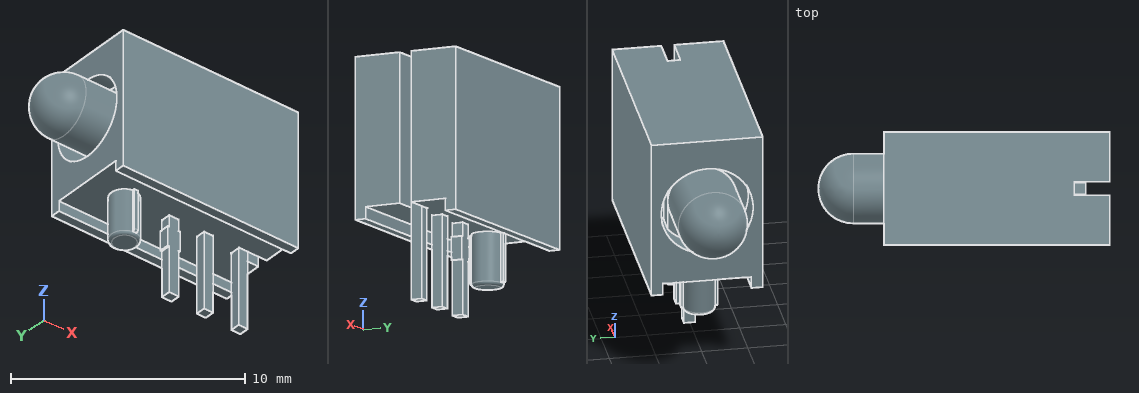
import cadquery as cq
import math

HOUSING_FRONT = 2.8
HOUSING_BACK = 12.45
HOUSING_WIDTH = 4.83
HOUSING_TOP = 10.61
SKIRT_BOTTOM = 3.5
SKIRT_THICKNESS = 0.5
UNDERSIDE = 4.02

LENS_RADIUS = 1.5
LENS_Z = 7.31
FLANGE_RADIUS = 1.99
FLANGE_RECESS = 1.21
FLANGE_THICKNESS = 1.0
FLANGE_FRONT = HOUSING_FRONT + FLANGE_RECESS
FLANGE_BACK = FLANGE_FRONT + FLANGE_THICKNESS

LEAD_SIZE = 0.5
LEAD_PITCH = 1.9
FIRST_LEAD_X = 7.37
LEAD_LEVEL_PITCH = 1.0
LEAD_COUNT = 3

FIRST_LEAD_WIDTH = 0.54
SHOULDER_WIDTH = 0.68
SHOULDER_TOP = 3.42
SHOULDER_BOTTOM = 2.4

SLOT_WIDTH = 0.56
LAST_LEAD_X = FIRST_LEAD_X + (LEAD_COUNT - 1) * LEAD_PITCH
SLOT_FRONT = LAST_LEAD_X - LEAD_SIZE / 2

PEG_X = 4.83
PEG_RADIUS = 0.7
PEG_BOTTOM = 1.72
PEG_TIP_FILLET = 0.15
RIB_WIDTH = 0.2
RIB_SPAN = 1.62
RIB_END_FILLET = 0.1
PEG_LENGTH = UNDERSIDE - PEG_BOTTOM
RIB_BOTTOM = PEG_BOTTOM + PEG_TIP_FILLET


def block(x_min, x_max, width, z_min, z_max):
    """Box centred on Y = 0 between the given X and Z limits."""
    return (
        cq.Workplane("XY")
        .box(x_max - x_min, width, z_max - z_min, centered=(False, True, False))
        .translate((x_min, 0, z_min))
    )


def x_cylinder(x_min, x_max, radius):
    """Cylinder on the lens axis between two X positions."""
    return (
        cq.Workplane("YZ", origin=(x_min, 0, LENS_Z))
        .circle(radius)
        .extrude(x_max - x_min)
    )


def make_lens():
    """Cylinder with a hemispherical tip, revolved about the lens axis."""
    arc_offset = LENS_RADIUS * math.sqrt(0.5)
    return (
        cq.Workplane("XZ", origin=(0, 0, LENS_Z))
        .moveTo(0, 0)
        .threePointArc((LENS_RADIUS - arc_offset, arc_offset), (LENS_RADIUS, LENS_RADIUS))
        .lineTo(FLANGE_FRONT, LENS_RADIUS)
        .lineTo(FLANGE_FRONT, 0)
        .close()
        .revolve(360, (0, 0, 0), (1, 0, 0))
    )


def make_flange():
    """Disc with a flat on its +Y side, level with the side of the lens."""
    disc = x_cylinder(FLANGE_FRONT, FLANGE_BACK, FLANGE_RADIUS)
    beyond_flat = block(
        FLANGE_FRONT, FLANGE_BACK, 2 * FLANGE_RADIUS, LENS_Z - FLANGE_RADIUS, LENS_Z + FLANGE_RADIUS
    ).translate((0, FLANGE_RADIUS + LENS_RADIUS, 0))
    return disc.cut(beyond_flat)


def make_lead(index):
    """Bent lead; the farther back it drops, the higher it leaves the flange."""
    width = FIRST_LEAD_WIDTH if index == 0 else LEAD_SIZE
    lead_x = FIRST_LEAD_X + index * LEAD_PITCH
    level = LENS_Z + (index - (LEAD_COUNT - 1) / 2) * LEAD_LEVEL_PITCH
    level_top = level + LEAD_SIZE / 2
    back = lead_x + width / 2
    drop = block(lead_x - width / 2, back, LEAD_SIZE, 0, level_top)
    run = block(FLANGE_BACK, back, LEAD_SIZE, level - LEAD_SIZE / 2, level_top)
    return drop.union(run)


def make_shoulder():
    half_width = SHOULDER_WIDTH / 2
    return block(
        FIRST_LEAD_X - half_width, FIRST_LEAD_X + half_width, LEAD_SIZE, SHOULDER_BOTTOM, SHOULDER_TOP
    )


def make_led():
    """Domed lens, flange and leads as one solid."""
    led = make_lens().union(make_flange())
    for index in range(LEAD_COUNT):
        led = led.union(make_lead(index))
    return led.union(make_shoulder())


def make_peg():
    """Round-tipped peg with a rib on each of its +Y and -Y sides."""
    peg = (
        cq.Workplane("XY", origin=(PEG_X, 0, PEG_BOTTOM))
        .circle(PEG_RADIUS)
        .extrude(PEG_LENGTH)
        .faces("<Z")
        .edges()
        .fillet(PEG_TIP_FILLET)
    )
    half_rib = RIB_WIDTH / 2
    ribs = block(PEG_X - half_rib, PEG_X + half_rib, RIB_SPAN, RIB_BOTTOM, UNDERSIDE)
    ribs = ribs.faces("<Z").edges("|X").fillet(RIB_END_FILLET)
    return peg.union(ribs)


def make_housing(led):
    """Block with side skirts, bore, back slot, peg and passages that fit the LED."""
    body = block(HOUSING_FRONT, HOUSING_BACK, HOUSING_WIDTH, SKIRT_BOTTOM, HOUSING_TOP)
    between_skirts = HOUSING_WIDTH - 2 * SKIRT_THICKNESS
    body = body.cut(block(HOUSING_FRONT, HOUSING_BACK, between_skirts, SKIRT_BOTTOM, UNDERSIDE))
    body = body.cut(block(SLOT_FRONT, HOUSING_BACK, SLOT_WIDTH, SKIRT_BOTTOM, HOUSING_TOP))
    body = body.cut(x_cylinder(HOUSING_FRONT, FLANGE_BACK, FLANGE_RADIUS))
    return body.cut(led).union(make_peg())


led = make_led()
housing = make_housing(led)

result = cq.Compound.makeCompound([housing.val(), led.val()])